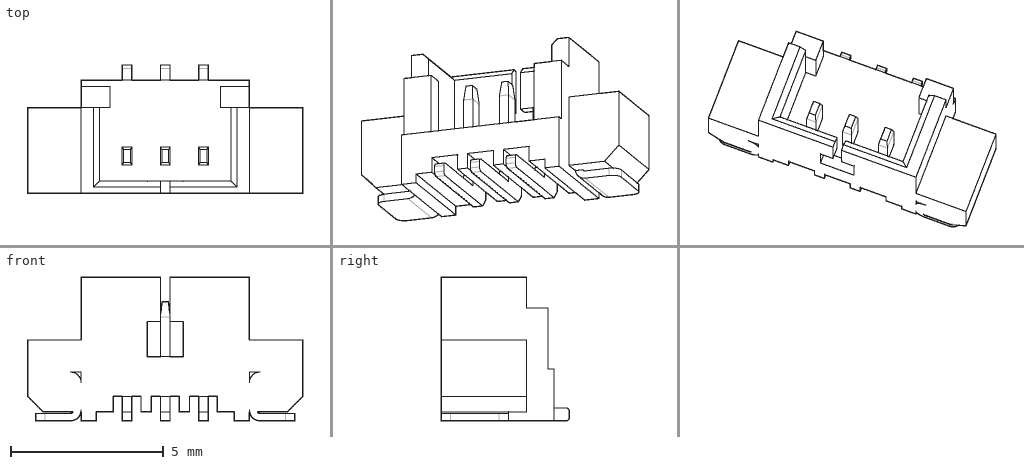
import cadquery as cq

width = 9.0
overall_depth = 4.2
height = 4.7

shroud_width = 5.5
shroud_depth = 2.8
side_wall = 0.6
front_wall = 0.4
lead_in_size = 0.2

base_depth = 3.7
floor_top = 1.7
post_width = 0.95
post_depth = 3.5
post_top = 3.7

wing_top = 2.65
wing_bottom = 0.3
wing_chamfer = 0.5

slot_width = 0.3
window_width = 1.17
window_bottom = 2.1
window_top = 3.25

stand_width = 0.5
stand_height = 0.3
notch_width = 0.9
notch_top = 0.8

pin_count = 3
pitch = 1.25
pin_width = 0.32
pin_front = 0.92
pin_rear = 1.52
pin_top = 3.9
pin_taper_start = 3.4
tip_inset_x = 0.05
tip_inset_y = 0.09
leg_front = 0.3
heel_chamfer = 0.3
tail_height = 0.43
tail_rounding = 0.12

clip_thickness = 0.25
clip_depth = 2.2
clip_top = 1.6
clip_arm_end = 3.55
clip_foot_end = 4.24
clip_inner_radius = 0.1
clip_outer_radius = clip_inner_radius + clip_thickness
foot_corner_radius = 0.31

half_shroud = shroud_width / 2
pin_positions = [(i - (pin_count - 1) / 2) * pitch for i in range(pin_count)]


def box(x_range, y_range, z_range):
    """Axis-aligned block between the given limits."""
    size = [high - low for low, high in (x_range, y_range, z_range)]
    corner = (x_range[0], y_range[0], z_range[0])
    return cq.Workplane("XY").box(*size, centered=False).translate(corner)


def centred_box(x_width, y_range, z_range):
    return box((-x_width / 2, x_width / 2), y_range, z_range)


def both_sides(right_half):
    return right_half.union(right_half.mirror("YZ"))


def make_wings():
    wings = centred_box(width, (0, shroud_depth), (wing_bottom, wing_top))
    return wings.faces("<Z").edges("|Y").chamfer(wing_chamfer)


def make_cavity():
    """Space inside the shroud, open at the rear and widened by a 45 degree lead-in at the rim."""
    half_width = half_shroud - side_wall
    cavity = centred_box(2 * half_width, (front_wall, base_depth), (floor_top, height))
    mouth_depth = base_depth - front_wall
    mouth_centre = (base_depth + front_wall) / 2
    lead_in = (
        cq.Workplane("XY", origin=(0, mouth_centre, height - lead_in_size))
        .rect(2 * half_width, mouth_depth)
        .workplane(offset=lead_in_size)
        .rect(2 * (half_width + lead_in_size), mouth_depth + 2 * lead_in_size)
        .loft(ruled=True)
    )
    return cavity.union(lead_in)


def make_posts():
    inner_x = half_shroud - post_width
    return both_sides(box((inner_x, half_shroud), (shroud_depth, post_depth), (0, post_top)))


def make_housing():
    housing = centred_box(shroud_width, (0, shroud_depth), (0, height))
    housing = housing.union(make_wings()).cut(make_cavity())
    housing = housing.union(centred_box(shroud_width, (0, base_depth), (0, floor_top)))
    housing = housing.union(make_posts())
    housing = housing.cut(centred_box(slot_width, (0, front_wall), (window_bottom, height)))
    housing = housing.cut(centred_box(window_width, (0, front_wall), (window_bottom, window_top)))
    recess_width = shroud_width - 2 * stand_width
    housing = housing.cut(centred_box(recess_width, (0, base_depth), (0, stand_height)))
    for x in pin_positions:
        notch = centred_box(notch_width, (0, base_depth), (0, notch_top))
        housing = housing.cut(notch.translate((x, 0, 0)))
    return housing


def make_pin():
    """Pin with a tapered tip above a wider leg, which has a bevelled heel and a tail to the rear."""
    blade = centred_box(pin_width, (pin_front, pin_rear), (floor_top, pin_taper_start))
    leg = centred_box(pin_width, (leg_front, pin_rear), (0, floor_top))
    leg = leg.faces("<Z").edges("<Y").chamfer(heel_chamfer)
    tail = centred_box(pin_width, (pin_rear, overall_depth), (0, tail_height))
    tail = tail.faces(">Y").edges("|X").fillet(tail_rounding)
    thickness = pin_rear - pin_front
    tip = (
        cq.Workplane("XY", origin=(0, (pin_front + pin_rear) / 2, pin_taper_start))
        .rect(pin_width, thickness)
        .workplane(offset=pin_top - pin_taper_start)
        .rect(pin_width - 2 * tip_inset_x, thickness - 2 * tip_inset_y)
        .loft(ruled=True)
    )
    return leg.union(blade).union(tail).union(tip)


def make_clip_blank():
    """C-shaped solder clip on the +X side, square outside its bends and rounded inside them."""
    upright_outer = half_shroud + clip_thickness
    bend_end_x = upright_outer + clip_inner_radius
    arm_bottom = clip_top - clip_thickness
    outline = (
        cq.Workplane("XZ")
        .moveTo(half_shroud, 0)
        .lineTo(clip_foot_end, 0)
        .lineTo(clip_foot_end, clip_thickness)
        .lineTo(bend_end_x, clip_thickness)
        .tangentArcPoint((upright_outer, clip_thickness + clip_inner_radius), relative=False)
        .lineTo(upright_outer, arm_bottom - clip_inner_radius)
        .tangentArcPoint((bend_end_x, arm_bottom), relative=False)
        .lineTo(clip_arm_end, arm_bottom)
        .lineTo(clip_arm_end, clip_top)
        .lineTo(half_shroud, clip_top)
        .close()
    )
    blank = outline.extrude(-clip_depth)
    return blank.faces(">X").edges("|Z").fillet(foot_corner_radius)


def make_clip():
    return make_clip_blank().faces("<X").edges("|Y").fillet(clip_outer_radius)


result = make_housing().cut(both_sides(make_clip_blank()))
for pin_x in pin_positions:
    result = result.union(make_pin().translate((pin_x, 0, 0)))
result = result.union(both_sides(make_clip()))